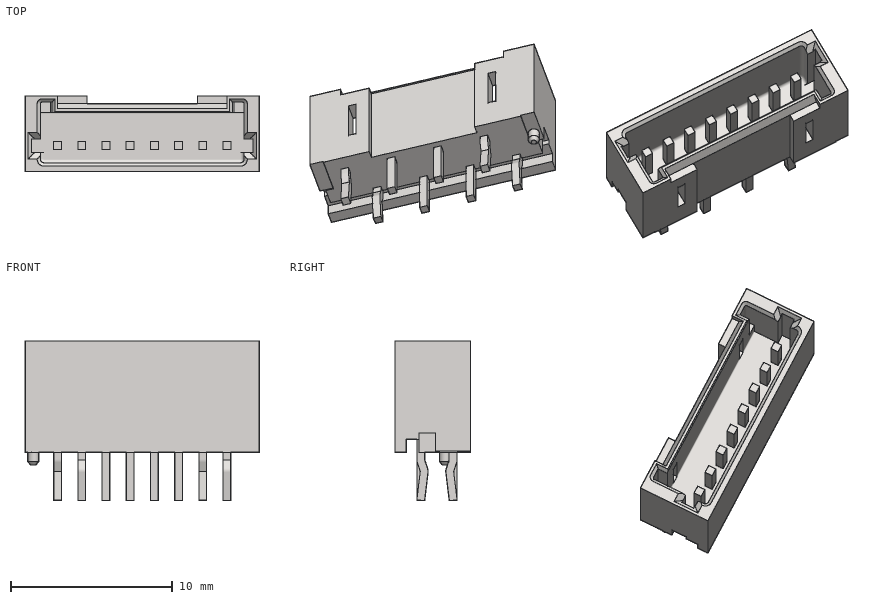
import cadquery as cq
import math


LENGTH = 14.5
DEPTH = 4.7
HEIGHT = 6.9
OVERSHOOT = 0.15

CAVITY_HALF = 6.31
CAVITY_FRONT = 0.55
CAVITY_BACK = 3.67
CAVITY_FLOOR = 2.03
RIM_FLARE = 0.2
BACK_RIM_FLARE = 0.07
FRONT_CORNER_RADIUS = 0.22
FLOOR_FILLET = 0.2
BACK_FLOOR_FILLET = 0.09

SLOT_HALF = 6.86
SLOT_FRONT = 1.19
SLOT_BACK = 2.03
SLOT_FLARE = 0.4
SLOT_MOUTH_HALF = 7.08

POCKET_INNER = 5.6
POCKET_BACK = 4.3
POCKET_FLOOR = 3.3
POCKET_CORNER_RADIUS = 0.1
POCKET_FLOOR_CHAMFER = 0.09

WALL_BACK = 4.22
WALL_CREST_BACK = 3.92
POST_INNER = 5.26
BLOCK_INNER = 3.41
BLOCK_DROP = 0.55
WINDOW_INNER = 4.26
WINDOW_WIDTH = 0.5
WINDOW_TOP = 5.05

CHANNEL_FRONT = 0.71
CHANNEL_BACK = 1.51
CHANNEL_HEIGHT = 0.8
RECESS_BACK = 2.51
RECESS_HEIGHT = 1.19
RECESS_DEPTH = 0.39
RELIEF_HEIGHT = 0.09
RELIEF_LENGTH = 0.87

PEG_INSET = 0.5
PEG_X = PEG_INSET - LENGTH / 2
PEG_Y = 3.1
PEG_RADIUS = 0.35
PEG_LENGTH = 0.8
PEG_TIP_CHAMFER = 0.19
PEG_TIP_HEIGHT = 0.23

PIN_COUNT = 8
PIN_SPAN = 10.5
PIN_PITCH = PIN_SPAN / (PIN_COUNT - 1)
PIN_SIZE = 0.5
PIN_TOP = 4.93
FRONT_ROW = 1.61
BACK_ROW = 3.61
LEG_LENGTH = 3.0
KINK_START = 0.51
KINK_KNEE = 1.16
KINK_OFFSET = 0.22
KINKED_PINS = (0, 1, PIN_COUNT - 2, PIN_COUNT - 1)


def block(x, y, z):
    """Box spanning three (low, high) pairs."""
    size = (x[1] - x[0], y[1] - y[0], z[1] - z[0])
    return cq.Workplane("XY").box(*size, centered=False).translate((x[0], y[0], z[0]))


def both_ends(tool):
    """The tool on the +X side together with its mirror image."""
    return tool.union(tool.mirror("YZ"))


def flare(x, y, size, round_edges=None, radius=0.0):
    """45 degree lead-in whose mouth covers x by y at the rim."""
    tool = block(x, y, (HEIGHT - size, HEIGHT + OVERSHOOT))
    if round_edges:
        tool = tool.edges(round_edges).fillet(radius)
    return tool.faces("<Z").chamfer(size)


def cavity():
    x = (-CAVITY_HALF, CAVITY_HALF)
    z = (CAVITY_FLOOR, HEIGHT + OVERSHOOT)
    front = block(x, (CAVITY_FRONT, SLOT_FRONT), z)
    front = front.edges("|Z and <Y").fillet(FRONT_CORNER_RADIUS)
    front = front.faces("<Z").edges("not >Y").fillet(FLOOR_FILLET)
    main = block(x, (SLOT_FRONT, CAVITY_BACK), z)
    main = main.edges("<Z and >Y").fillet(BACK_FLOOR_FILLET)
    mouth_half = CAVITY_HALF + RIM_FLARE
    mouth = flare(
        (-mouth_half, mouth_half),
        (CAVITY_FRONT - RIM_FLARE, CAVITY_BACK + BACK_RIM_FLARE),
        RIM_FLARE,
        "|Z and <Y",
        FRONT_CORNER_RADIUS + RIM_FLARE,
    )
    return front.union(main).union(mouth)


def key_slots():
    z = (CAVITY_FLOOR, HEIGHT + OVERSHOOT)
    slot = block((-SLOT_HALF, SLOT_HALF), (SLOT_FRONT, SLOT_BACK), z)
    mouth = flare(
        (-SLOT_MOUTH_HALF, SLOT_MOUTH_HALF),
        (SLOT_FRONT - SLOT_FLARE, SLOT_BACK + SLOT_FLARE),
        SLOT_FLARE,
    )
    return slot.union(mouth)


def back_pockets():
    front = SLOT_BACK + SLOT_FLARE
    z = (POCKET_FLOOR, HEIGHT + OVERSHOOT)
    pocket = block((POCKET_INNER, CAVITY_HALF), (front, POCKET_BACK), z)
    pocket = pocket.edges("|Z and >X and >Y").fillet(POCKET_CORNER_RADIUS)
    pocket = pocket.edges("<Z and <X").chamfer(POCKET_FLOOR_CHAMFER)
    mouth = flare(
        (POCKET_INNER - RIM_FLARE, CAVITY_HALF + RIM_FLARE),
        (front, POCKET_BACK + RIM_FLARE),
        RIM_FLARE,
        "|Z and >X and >Y",
        POCKET_CORNER_RADIUS + RIM_FLARE,
    )
    return both_ends(pocket.union(mouth))


def back_wall_cut():
    """Clears the back between the blocks, above them, and slopes the wall crest."""
    top = HEIGHT + OVERSHOOT
    back = DEPTH + OVERSHOOT
    between = block((-BLOCK_INNER, BLOCK_INNER), (WALL_BACK, back), (-OVERSHOOT, top))
    above = (
        cq.Workplane("YZ")
        .polyline([
            (WALL_CREST_BACK, HEIGHT),
            (WALL_BACK, HEIGHT - BLOCK_DROP),
            (back, HEIGHT - BLOCK_DROP),
            (back, top),
            (WALL_CREST_BACK, top),
        ])
        .close()
        .extrude(POST_INNER, both=True)
    )
    return between.union(above)


def windows():
    return both_ends(block(
        (WINDOW_INNER, WINDOW_INNER + WINDOW_WIDTH),
        (CAVITY_BACK, DEPTH + OVERSHOOT),
        (CAVITY_FLOOR + BACK_FLOOR_FILLET, WINDOW_TOP),
    ))


def underside_cut():
    end = LENGTH / 2
    channel = block(
        (-end - OVERSHOOT, end + OVERSHOOT),
        (CHANNEL_FRONT, CHANNEL_BACK),
        (-OVERSHOOT, CHANNEL_HEIGHT),
    )
    recess = block(
        (end - RECESS_DEPTH, end + OVERSHOOT),
        (CHANNEL_BACK, RECESS_BACK),
        (-OVERSHOOT, RECESS_HEIGHT),
    )
    relief = block(
        (end - RELIEF_LENGTH, end + OVERSHOOT),
        (RECESS_BACK, DEPTH + OVERSHOOT),
        (-OVERSHOOT, RELIEF_HEIGHT),
    )
    return channel.union(both_ends(recess.union(relief)))


def peg():
    shaft = cq.Workplane("XY").circle(PEG_RADIUS).extrude(RELIEF_HEIGHT + PEG_LENGTH)
    shaft = shaft.faces("<Z").chamfer(PEG_TIP_HEIGHT, PEG_TIP_CHAMFER)
    return shaft.translate((PEG_X, PEG_Y, -PEG_LENGTH))


def straight_leg():
    half = PIN_SIZE / 2
    return block((-half, half), (-half, half), (-LEG_LENGTH, CAVITY_FLOOR))


def kinked_leg():
    """Leg that bows toward +Y and slants back, with rounded outer bends and a square-cut tip."""
    half = PIN_SIZE / 2
    out_angle = math.atan2(KINK_OFFSET, KINK_KNEE - KINK_START)
    back_angle = math.atan2(KINK_OFFSET, LEG_LENGTH - KINK_KNEE)

    def mitre(y, z, angle_above, angle_below):
        """Front and back corners of a bend; angles lean toward +Y going down."""
        lean = (angle_above + angle_below) / 2
        reach = half / math.cos((angle_above - angle_below) / 2)
        dy = reach * math.cos(lean)
        dz = reach * math.sin(lean)
        return (y - dy, z - dz), (y + dy, z + dz)

    tip_z = -LEG_LENGTH + half * math.sin(back_angle)
    stations = [
        mitre(0, CAVITY_FLOOR, 0, 0),
        mitre(0, -KINK_START, 0, out_angle),
        mitre(KINK_OFFSET, -KINK_KNEE, out_angle, -back_angle),
        mitre(0, tip_z, -back_angle, -back_angle),
    ]
    front = [station[0] for station in stations]
    back = [station[1] for station in stations]
    leg = cq.Workplane("YZ").polyline(front + back[::-1]).close().extrude(half, both=True)
    for y, z in (front[1], back[2]):
        leg = leg.edges(cq.NearestToPointSelector((0, y, z))).fillet(PIN_SIZE)
    return leg


def pins():
    half = PIN_SIZE / 2
    contact = block((-half, half), (-half, half), (CAVITY_FLOOR - PIN_SIZE, PIN_TOP))
    straight = straight_leg()
    kinked = kinked_leg()
    group = cq.Workplane("XY")
    for index in range(PIN_COUNT):
        x = index * PIN_PITCH - PIN_SPAN / 2
        in_front_row = index % 2 == 0
        leg = kinked if index in KINKED_PINS else straight
        if not in_front_row:
            leg = leg.mirror("XZ")
        leg_y = FRONT_ROW if in_front_row else BACK_ROW
        group = group.union(contact.translate((x, FRONT_ROW, 0)))
        group = group.union(leg.translate((x, leg_y, 0)))
    return group


housing = block((-LENGTH / 2, LENGTH / 2), (0, DEPTH), (0, HEIGHT))
for cut in (cavity(), key_slots(), back_pockets(), back_wall_cut(), windows(), underside_cut()):
    housing = housing.cut(cut)

result = housing.union(peg()).union(pins())